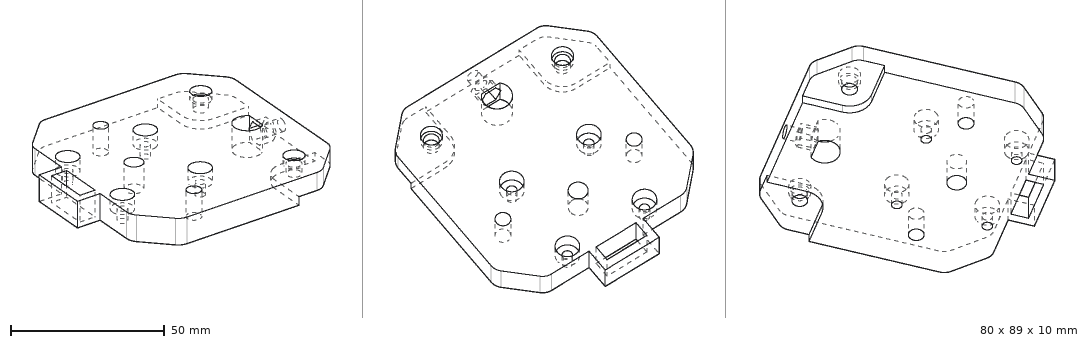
import cadquery as cq
import math

plate_size = 80.0
thickness = 10.0
corner_cut = 12.0
corner_radius = 5.0

loop_width = 21.7
loop_length = 89 - plate_size
slot_width = 16.0
slot_length = 6.05

mount_offset = 26.3
front_mount_y = -13.5
mount_diameter = 5.2
mount_head_diameter = 7.2
mount_head_depth = 3.0

pattern_y = -18.9
screw_pitch = 31.0
screw_diameter = 3.5
screw_head_diameter = 8.0
screw_head_depth = 5.3
shaft_diameter = 6.5

d_diameter = 10.15
d_flat_offset = 3.5

clamp_diameter = 4.5
nut_across_flats = 7.0
nut_depth = 5.3

relief_radius = 7.6
relief_height = 3.2

half_plate = plate_size / 2
rear_mounts = [(-mount_offset, mount_offset), (mount_offset, mount_offset)]
front_mounts = [(-mount_offset, front_mount_y), (mount_offset, front_mount_y)]


def make_plate():
    plate = cq.Workplane("XY").rect(plate_size, plate_size).extrude(thickness)
    plate = plate.edges("|Z").chamfer(corner_cut)
    return plate.edges("|Z").fillet(corner_radius)


def make_loop():
    front = -half_plate
    outer = (
        cq.Workplane("XY")
        .center(0, front - loop_length / 2)
        .rect(loop_width, loop_length)
        .extrude(thickness)
    )
    slot = (
        cq.Workplane("XY")
        .center(0, front - slot_length / 2)
        .rect(slot_width, slot_length)
        .extrude(thickness)
    )
    return outer.cut(slot)


def holes(points, diameter, bottom=0):
    """Cylinders reaching from the given height to the top face."""
    return (
        cq.Workplane("XY", origin=(0, 0, bottom))
        .pushPoints(points)
        .circle(diameter / 2)
        .extrude(thickness - bottom)
    )


def make_d_opening():
    round_hole = holes([(0, mount_offset)], d_diameter)
    below_flat = (
        cq.Workplane("XY")
        .center(0, mount_offset + d_flat_offset - d_diameter / 2)
        .rect(d_diameter, d_diameter)
        .extrude(thickness)
    )
    return round_hole.intersect(below_flat)


def make_clamp():
    """Screw hole from the rear edge to the D opening, plus the nut pocket."""
    flat_y = mount_offset + d_flat_offset
    nut_across_corners = nut_across_flats / math.cos(math.pi / 6)
    flat_plane = cq.Plane(origin=(0, flat_y, thickness / 2), xDir=(1, 0, 0), normal=(0, 1, 0))
    screw_hole = cq.Workplane(flat_plane).circle(clamp_diameter / 2).extrude(half_plate - flat_y)
    nut_pocket = cq.Workplane(flat_plane).polygon(6, nut_across_corners).extrude(nut_depth)
    return screw_hole.union(nut_pocket)


def make_relief():
    """Left rear relief: open to both edges, rounded around the mounting hole."""
    inner_x = -mount_offset + relief_radius
    front_y = mount_offset - relief_radius
    return (
        cq.Workplane("XY")
        .moveTo(-half_plate, front_y)
        .lineTo(-mount_offset, front_y)
        .radiusArc((inner_x, mount_offset), -relief_radius)
        .lineTo(inner_x, half_plate)
        .lineTo(-half_plate, half_plate)
        .close()
        .extrude(relief_height)
    )


half_pitch = screw_pitch / 2
screws = [
    (x, pattern_y + y)
    for x in (-half_pitch, half_pitch)
    for y in (-half_pitch, half_pitch)
]

result = make_plate().union(make_loop())
result = result.cut(holes(rear_mounts + front_mounts, mount_diameter))
result = result.cut(holes(rear_mounts, mount_head_diameter, thickness - mount_head_depth))
result = result.cut(holes(screws, screw_diameter))
result = result.cut(holes(screws, screw_head_diameter, thickness - screw_head_depth))
result = result.cut(holes([(0, pattern_y)], shaft_diameter))
result = result.cut(make_d_opening())
result = result.cut(make_clamp())

left_relief = make_relief()
result = result.cut(left_relief).cut(left_relief.mirror("YZ"))